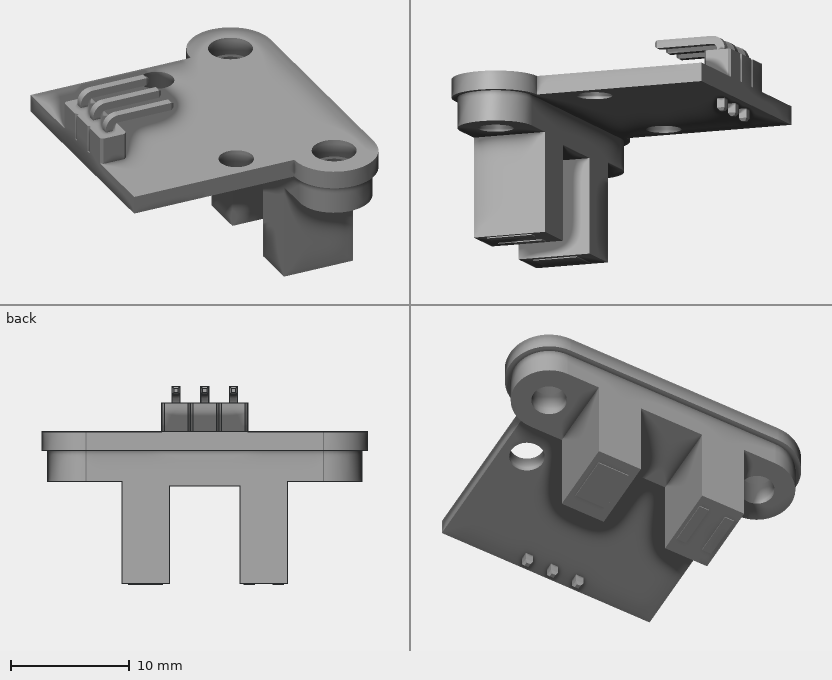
import cadquery as cq
import math

board_length = 27.5
board_depth = 22.5
board_thickness = 1.6
ear_radius = 3.75
ear_x = board_length / 2 - ear_radius
ear_y = board_depth - ear_radius
ear_hole_diameter = 3.8
side_hole_diameter = 3.0
side_hole_x = 7.7
side_hole_y = 10.7

flange_radius = 3.25
flange_thickness = 2.6
flange_hole_diameter = side_hole_diameter
legs_outer_width = 14.0
slot_width = 5.9
slot_top_z = -4.6
leg_bottom_z = -12.82

pad_height = 0.08
pad_depth = 4.02
pad_y = 18.92
strip_width = 0.88
left_strip_xs = (-6.2, -3.75)
right_pad_width = 2.85
right_pad_x = 5.0

pin_count = 3
cell_size = 2.42
cell_chamfer = 0.22
pin_pitch = cell_size
header_y = cell_size / 2
pin_xs = [(i - (pin_count - 1) / 2) * pin_pitch for i in range(pin_count)]

pin_size = 0.7
pin_top_z = 3.82
pin_protrusion = 1.05
pin_bottom_z = -board_thickness - pin_protrusion
pin_tip_y = 7.3
bend_outer_radius = 1.15
bend_inner_radius = bend_outer_radius - pin_size
tip_taper_length = 0.25
tip_taper_inset = 0.16


def pin_hole(x, z_bottom, z_top):
    """Cutter that clears the vertical part of one pin."""
    height = z_top - z_bottom
    return cq.Workplane("XY", origin=(x, header_y, z_bottom)).rect(pin_size, pin_size).extrude(height)


def make_board():
    outline = (
        cq.Workplane("XY", origin=(0, 0, -board_thickness))
        .moveTo(-ear_x, 0)
        .lineTo(ear_x, 0)
        .lineTo(ear_x, ear_y - ear_radius)
        .threePointArc((ear_x + ear_radius, ear_y), (ear_x, board_depth))
        .lineTo(-ear_x, board_depth)
        .threePointArc((-ear_x - ear_radius, ear_y), (-ear_x, ear_y - ear_radius))
        .close()
    )
    board = outline.extrude(board_thickness)
    top = board.faces(">Z").workplane(origin=(0, 0, 0))
    board = top.pushPoints([(-ear_x, ear_y), (ear_x, ear_y)]).hole(ear_hole_diameter)
    top = board.faces(">Z").workplane(origin=(0, 0, 0))
    board = top.pushPoints([(-side_hole_x, side_hole_y), (side_hole_x, side_hole_y)]).hole(side_hole_diameter)
    for x in pin_xs:
        board = board.cut(pin_hole(x, -board_thickness, 0))
    return board


def make_sensor():
    flange_bottom_z = -board_thickness - flange_thickness
    flange = (
        cq.Workplane("XY", origin=(0, ear_y, flange_bottom_z))
        .slot2D(2 * (ear_x + flange_radius), 2 * flange_radius)
        .extrude(flange_thickness)
    )
    legs = (
        cq.Workplane("XY", origin=(0, ear_y, leg_bottom_z))
        .rect(legs_outer_width, 2 * flange_radius)
        .extrude(flange_bottom_z - leg_bottom_z)
    )
    slot = (
        cq.Workplane("XY", origin=(0, ear_y, leg_bottom_z))
        .rect(slot_width, 2 * flange_radius)
        .extrude(slot_top_z - leg_bottom_z)
    )
    holes = (
        cq.Workplane("XY", origin=(0, ear_y, flange_bottom_z))
        .pushPoints([(-ear_x, 0), (ear_x, 0)])
        .circle(flange_hole_diameter / 2)
        .extrude(flange_thickness)
    )
    sensor = flange.union(legs.cut(slot)).cut(holes)
    pads = [(x, strip_width) for x in left_strip_xs] + [(right_pad_x, right_pad_width)]
    for x, width in pads:
        pad = cq.Workplane("XY", origin=(x, pad_y, leg_bottom_z)).rect(width, pad_depth).extrude(-pad_height)
        sensor = sensor.union(pad)
    return sensor


def make_header():
    header = cq.Workplane("XY")
    for x in pin_xs:
        cell = cq.Workplane("XY", origin=(x, header_y, 0)).rect(cell_size, cell_size).extrude(cell_size)
        header = header.union(cell.edges("|Z").chamfer(cell_chamfer))
    for x in pin_xs:
        header = header.cut(pin_hole(x, 0, cell_size))
    return header


def make_tip(plane, origin):
    """Tapered end of a pin, pointing along the normal of the named plane."""
    taper_angle = math.degrees(math.atan(tip_taper_inset / tip_taper_length))
    tip = cq.Workplane(plane, origin=origin).rect(pin_size, pin_size)
    return tip.extrude(tip_taper_length, taper=taper_angle)


def make_pin(x):
    front_y = header_y - pin_size / 2
    back_y = header_y + pin_size / 2
    bend_y = front_y + bend_outer_radius
    bend_z = pin_top_z - bend_outer_radius
    lower_z = pin_bottom_z + tip_taper_length
    tip_y = pin_tip_y - tip_taper_length
    diagonal = math.sqrt(0.5)
    outer_mid = (bend_y - bend_outer_radius * diagonal, bend_z + bend_outer_radius * diagonal)
    inner_mid = (bend_y - bend_inner_radius * diagonal, bend_z + bend_inner_radius * diagonal)
    pin = (
        cq.Workplane("YZ", origin=(x, 0, 0))
        .moveTo(front_y, lower_z)
        .lineTo(front_y, bend_z)
        .threePointArc(outer_mid, (bend_y, pin_top_z))
        .lineTo(tip_y, pin_top_z)
        .lineTo(tip_y, pin_top_z - pin_size)
        .lineTo(bend_y, pin_top_z - pin_size)
        .threePointArc(inner_mid, (back_y, bend_z))
        .lineTo(back_y, lower_z)
        .close()
        .extrude(pin_size / 2, both=True)
    )
    lower_tip = make_tip("YX", (x, header_y, lower_z))
    upper_tip = make_tip("ZX", (x, tip_y, pin_top_z - pin_size / 2))
    return pin.union(lower_tip).union(upper_tip)


board = make_board()
sensor = make_sensor()
header = make_header()
pins = [make_pin(x) for x in pin_xs]

result = cq.Compound.makeCompound(
    [board.val(), sensor.val(), header.val(), *[pin.val() for pin in pins]]
)